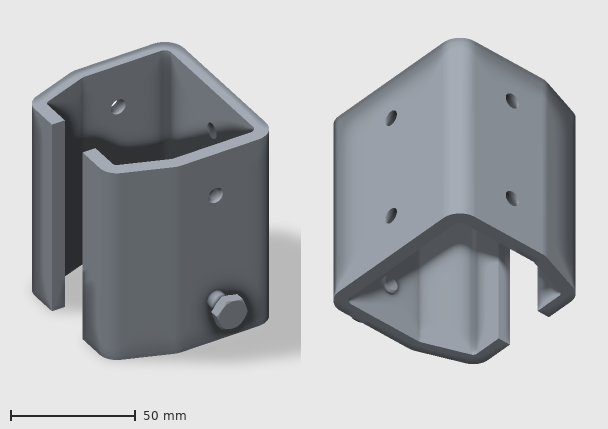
import cadquery as cq
import math

bracket_width = 81.0
bracket_depth = 74.0
bracket_height = 90.0
wall = 6.0
side_depth = 46.8
taper_angle = 20.0
lip_gap = 23.6
back_bend_radius = 9.0
lip_bend_radius = 8.0

hole_diameter = 7.0
hole_heights = [20.0, 70.0]
side_hole_setback = 29.0
side_hole_y = bracket_depth - side_hole_setback

bolt_end_x = 94.3
bolt_height = hole_heights[0]
shank_diameter = 8.0
shank_length = 16.2
tip_chamfer = 0.8
underhead_fillet = 0.6
washer_face_diameter = 12.8
washer_face_thickness = 0.4
head_thickness = 4.6
head_across_flats = 13.0
head_turn = 10.5
head_chamfer_angle = 30.0

washer_face_x = bolt_end_x - head_thickness - washer_face_thickness
tip_x = washer_face_x - shank_length


def along_x(x, y, z):
    """Workplane facing +X, with its local axes along Y and Z."""
    return cq.Workplane("YZ", origin=(x, y, z))


def make_channel():
    half_width = bracket_width / 2
    taper_y = bracket_depth - side_depth
    front_half_width = half_width - taper_y * math.tan(math.radians(taper_angle))
    block = (
        cq.Workplane("XY")
        .polyline([
            (-half_width, bracket_depth),
            (-half_width, taper_y),
            (-front_half_width, 0),
            (front_half_width, 0),
            (half_width, taper_y),
            (half_width, bracket_depth),
        ])
        .close()
        .extrude(bracket_height)
    )
    block = block.edges("|Z and (not <Y)").fillet(back_bend_radius)
    block = block.edges("|Z and <Y").fillet(lip_bend_radius)
    tube = block.faces("|Z").shell(-wall)
    opening = cq.Workplane("XY").box(lip_gap, 2 * wall, bracket_height, centered=(True, True, False))
    return tube.cut(opening).translate((half_width, 0, 0))


def make_bracket():
    bracket = make_channel()
    for height in hole_heights:
        back_hole = (
            cq.Workplane("XZ", origin=(bracket_width / 2, bracket_depth, height))
            .circle(hole_diameter / 2)
            .extrude(wall)
        )
        side_holes = along_x(0, side_hole_y, height).circle(hole_diameter / 2).extrude(bracket_width)
        bracket = bracket.cut(back_hole).cut(side_holes)
    bolt_hole = (
        along_x(bracket_width - wall, side_hole_y, bolt_height)
        .circle(shank_diameter / 2)
        .extrude(wall)
    )
    return bracket.cut(bolt_hole)


def make_head():
    across_corners = head_across_flats / math.cos(math.pi / 6)
    corner_height = (across_corners - head_across_flats) / 2
    chamfer_length = corner_height * math.tan(math.radians(head_chamfer_angle))
    head_x = bolt_end_x - head_thickness
    hexagon = (
        along_x(head_x, side_hole_y, bolt_height)
        .polygon(6, across_corners)
        .extrude(head_thickness)
        .rotate((0, side_hole_y, bolt_height), (1, side_hole_y, bolt_height), -head_turn)
    )
    trim = (
        along_x(head_x, side_hole_y, bolt_height)
        .circle(across_corners / 2)
        .extrude(head_thickness)
        .faces(">X")
        .chamfer(chamfer_length, corner_height)
    )
    return hexagon.intersect(trim)


def make_bolt():
    shank = (
        along_x(tip_x, side_hole_y, bolt_height)
        .circle(shank_diameter / 2)
        .extrude(shank_length)
        .faces("<X")
        .chamfer(tip_chamfer)
    )
    washer_face = (
        along_x(washer_face_x, side_hole_y, bolt_height)
        .circle(washer_face_diameter / 2)
        .extrude(washer_face_thickness)
    )
    at_washer_face = cq.selectors.NearestToPointSelector((washer_face_x, side_hole_y, bolt_height))
    inner_edge = cq.selectors.RadiusNthSelector(0)
    body = shank.union(washer_face).faces(at_washer_face).edges(inner_edge).fillet(underhead_fillet)
    return body.union(make_head())


bracket = make_bracket()
bolt = make_bolt()
result = cq.Compound.makeCompound([bracket.val(), bolt.val()])